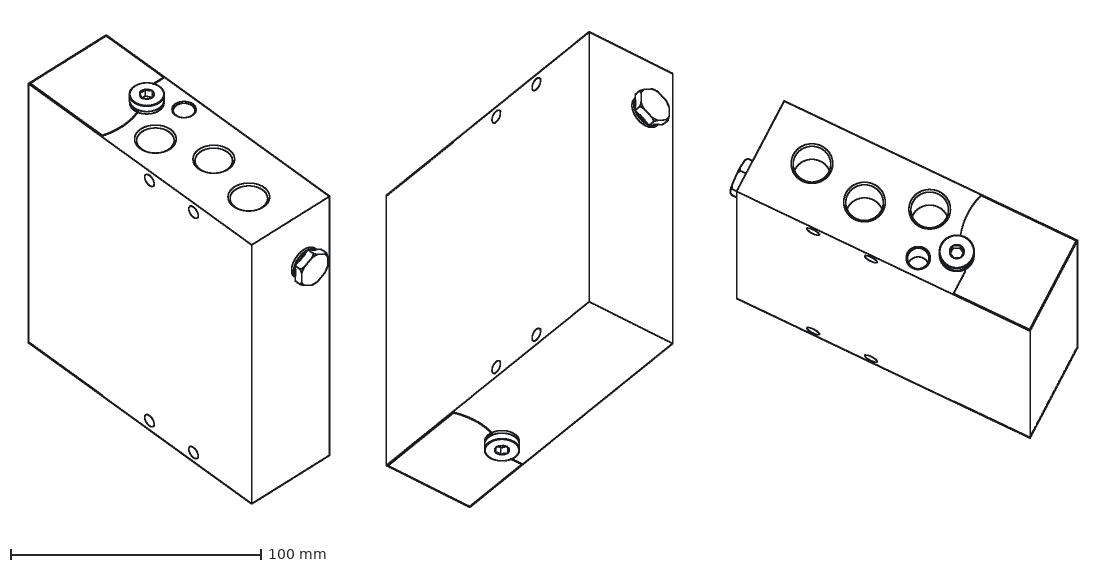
import cadquery as cq
import math


total_length = 137.3
block_width = 42.5
total_height = 148.7

block_length = 131.2
block_height = 139.8
block_top = block_height / 2
pad_height = 0.37
pad_inset = 0.37

pad_back_x = 34.3
pad_step_y = 31.5
bulge_top = (42.4, 20.2)
bulge_middle = (44.3, 10.4)
bulge_bottom_x = 43.0

large_port_places = [(58.7, 14.7), (83.4, 23.6), (109.5, 18.6)]
large_port_bore = 15.0
large_port_rim = 16.7
large_port_depth = 17.8
small_port_places = [(53.7, 35.1)]
small_port_bore = 8.6
small_port_rim = 9.7
small_port_depth = 11.9

mounting_hole_diameter = 5.5
mounting_hole_xs = (71.1, 97.0)
mounting_hole_z = 64.8

screw_place = (40.5, 27.0)
screw_head_diameter = 14.0
screw_head_height = 3.1
screw_head_chamfer = 0.22
screw_collar_diameter = 13.8
screw_height = total_height / 2 - block_top
screw_collar_height = screw_height - screw_head_height
socket_across_flats = 5.0
socket_lead_in = 0.3
socket_depth = 3.5

plug_y = 28.7
plug_z = 42.8
plug_flange_diameter = 14.0
plug_flange_length = 1.12
plug_neck_diameter = 13.7
plug_neck_length = 1.12
plug_across_flats = 14.3
plug_end_diameter = 15.0
plug_length = total_length - block_length
plug_hex_length = plug_length - plug_flange_length - plug_neck_length

hexagon_half_step = 30


def across_corners(across_flats):
    """Corner-to-corner size of a regular hexagon."""
    return across_flats / math.cos(math.radians(hexagon_half_step))


def mirrored_down(body):
    """Copy of a body reflected from the top end to the bottom end."""
    return body.mirror("XY")


def pad():
    """Low pad on the top face, cut out around the screw collar."""
    front_y = pad_inset
    back_y = block_width - pad_inset
    outline = (
        cq.Workplane("XY", origin=(0, 0, block_top))
        .moveTo(pad_inset, front_y)
        .lineTo(pad_inset, back_y)
        .lineTo(pad_back_x, back_y)
        .lineTo(pad_back_x, pad_step_y)
        .lineTo(bulge_top[0], pad_step_y)
        .lineTo(*bulge_top)
        .threePointArc(bulge_middle, (bulge_bottom_x, front_y))
        .close()
    )
    collar_seat = (
        cq.Workplane("XY", origin=(*screw_place, block_top))
        .circle(screw_collar_diameter / 2)
        .extrude(pad_height)
    )
    return outline.extrude(pad_height).cut(collar_seat)


def port(place, bore, rim, depth):
    """Blind port with a 45 degree chamfered mouth, as a cutting tool."""
    chamfer_depth = (rim - bore) / 2
    profile = (
        cq.Workplane("XZ")
        .polyline([
            (0, 0),
            (rim / 2, 0),
            (bore / 2, -chamfer_depth),
            (bore / 2, -depth),
            (0, -depth),
        ])
        .close()
    )
    return profile.revolve(360, (0, 0, 0), (0, 1, 0)).translate((*place, block_top))


def make_housing():
    """Block with both pads, the top ports and the mounting holes."""
    body = cq.Workplane("XY").box(
        block_length, block_width, block_height, centered=(False, False, True)
    )
    top_pad = pad()
    body = body.union(top_pad).union(mirrored_down(top_pad))

    for place in large_port_places:
        body = body.cut(port(place, large_port_bore, large_port_rim, large_port_depth))
    for place in small_port_places:
        body = body.cut(port(place, small_port_bore, small_port_rim, small_port_depth))

    hole_places = [(x, side * mounting_hole_z) for x in mounting_hole_xs for side in (1, -1)]
    mounting_holes = (
        cq.Workplane("XZ")
        .pushPoints(hole_places)
        .circle(mounting_hole_diameter / 2)
        .extrude(-block_width)
    )
    return body.cut(mounting_holes)


def make_screw():
    """Cap screw with a collar standing on the top face and a countersunk hexagon socket."""
    collar = cq.Workplane("XY").circle(screw_collar_diameter / 2).extrude(screw_collar_height)
    head = (
        cq.Workplane("XY", origin=(0, 0, screw_collar_height))
        .circle(screw_head_diameter / 2)
        .extrude(screw_head_height)
        .faces(">Z")
        .chamfer(screw_head_chamfer)
    )
    socket = (
        cq.Workplane("XY", origin=(0, 0, screw_height))
        .polygon(6, across_corners(socket_across_flats))
        .extrude(-socket_depth)
        .rotate((0, 0, 0), (0, 0, 1), hexagon_half_step)
    )
    lead_in = (
        cq.Workplane("XY", origin=(0, 0, screw_height))
        .circle(across_corners(socket_across_flats) / 2)
        .workplane(offset=-socket_lead_in)
        .circle(socket_across_flats / 2)
        .loft()
    )
    screw = collar.union(head).cut(socket).cut(lead_in)
    return screw.translate((*screw_place, block_top))


def make_plug():
    """Plug with a round flange, a neck and a hexagon head turned down at its end."""
    flange = cq.Workplane("YZ").circle(plug_flange_diameter / 2).extrude(plug_flange_length)
    neck = (
        cq.Workplane("YZ", origin=(plug_flange_length, 0, 0))
        .circle(plug_neck_diameter / 2)
        .extrude(plug_neck_length)
    )
    corners = across_corners(plug_across_flats)
    hexagon = (
        cq.Workplane("YZ", origin=(plug_length - plug_hex_length, 0, 0))
        .polygon(6, corners)
        .extrude(plug_hex_length)
        .rotate((0, 0, 0), (1, 0, 0), hexagon_half_step)
    )
    turned_envelope = (
        cq.Workplane("YZ")
        .circle(corners / 2)
        .extrude(plug_length)
        .faces(">X")
        .chamfer((corners - plug_end_diameter) / 2)
    )
    plug = flange.union(neck).union(hexagon.intersect(turned_envelope))
    return plug.translate((block_length, plug_y, plug_z))


housing = make_housing()
top_screw = make_screw()
screws = [top_screw, mirrored_down(top_screw)]
plug = make_plug()

result = cq.Compound.makeCompound([
    housing.val(),
    *[screw.val() for screw in screws],
    plug.val(),
])